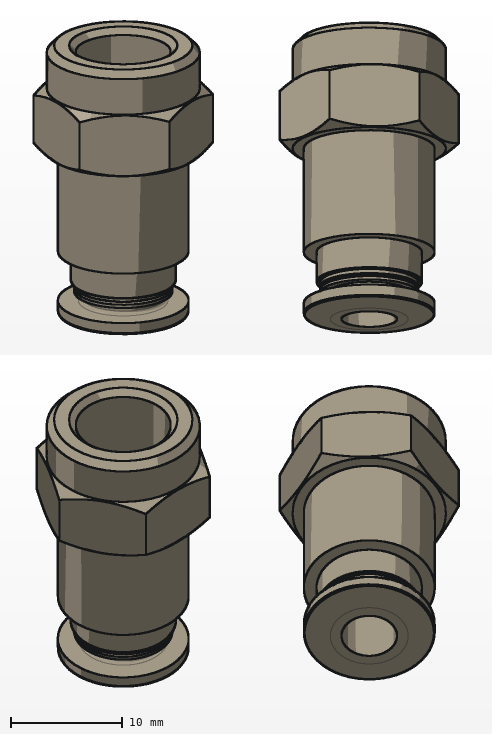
import cadquery as cq
import math

height = 26.0
hex_top = 21.92
hex_bottom = 16.0
body_bottom = 6.27
collar_bottom = 3.4
step_bottom = 3.02
groove_bottom = 2.95
ring_top = 2.73
ring_bottom = 2.42
button_top = 1.5
button_edge = 0.55

head_dia = 13.8
body_dia = 11.8
collar_dia = 9.5
ring_dia = 8.9
groove_dia = 8.55
stem_dia = 7.4
button_dia = body_dia
button_face_dia = 7.02

hex_across_corners = 16.17
hex_chamfer_angle = 30.0

port_dia = 8.55
port_floor = hex_bottom
passage_dia = 5.0
passage_mouth_dia = 6.0

head_chamfer = 0.68
port_chamfer = 0.6
collar_chamfer = 0.08
stem_fillet = 0.35
button_chamfer = 0.08
button_cone_angle = 10.0


def revolve_outline(outline):
    """Revolve an open (radius, height) outline about the Z axis after closing it along the axis."""
    return outline.close().revolve(360, (0, 0), (0, 1))


def make_turned_body():
    """Head, body, collar, grooved stem and release button as one solid of revolution."""
    head_r = head_dia / 2
    body_r = body_dia / 2
    collar_r = collar_dia / 2
    ring_r = ring_dia / 2
    groove_r = groove_dia / 2
    stem_r = stem_dia / 2
    button_r = button_dia / 2
    face_r = button_face_dia / 2
    cone_r = button_r - button_chamfer
    cone_top = (cone_r - face_r) * math.tan(math.radians(button_cone_angle))

    button = [
        (0, 0),
        (face_r, 0),
        (cone_r, cone_top),
        (button_r, button_edge),
        (button_r, button_top),
        (stem_r + stem_fillet, button_top),
    ]
    stem_and_body = [
        (stem_r, ring_bottom),
        (ring_r, ring_bottom),
        (ring_r, ring_top),
        (groove_r, groove_bottom),
        (groove_r, step_bottom),
        (ring_r, step_bottom),
        (ring_r, collar_bottom),
        (collar_r - collar_chamfer, collar_bottom),
        (collar_r, collar_bottom + collar_chamfer),
        (collar_r, body_bottom),
        (body_r, body_bottom),
        (body_r, hex_bottom),
        (head_r, hex_bottom),
        (head_r, height - head_chamfer),
        (head_r - head_chamfer, height),
        (0, height),
    ]
    fillet_end = (stem_r, button_top + stem_fillet)
    outline = (
        cq.Workplane("XZ")
        .polyline(button)
        .tangentArcPoint(fillet_end, relative=False)
        .polyline(stem_and_body, includeCurrent=True)
    )
    return revolve_outline(outline)


def make_hexagon():
    """Hexagon with corners on the X axis, turned to a cone at both ends."""
    face_r = head_dia / 2
    corner_r = hex_across_corners / 2
    corner_drop = (corner_r - face_r) * math.tan(math.radians(hex_chamfer_angle))
    prism = (
        cq.Workplane("XY", origin=(0, 0, hex_bottom))
        .polygon(6, hex_across_corners)
        .extrude(hex_top - hex_bottom)
    )
    envelope = revolve_outline(cq.Workplane("XZ").polyline([
        (0, hex_bottom),
        (face_r, hex_bottom),
        (corner_r, hex_bottom + corner_drop),
        (corner_r, hex_top - corner_drop),
        (face_r, hex_top),
        (0, hex_top),
    ]))
    return prism.intersect(envelope)


def make_bore():
    """Chamfered port at the top, leading into the narrower through passage."""
    port_r = port_dia / 2
    passage_r = passage_dia / 2
    mouth_r = passage_mouth_dia / 2
    return revolve_outline(cq.Workplane("XZ").polyline([
        (0, 0),
        (passage_r, 0),
        (passage_r, port_floor - (mouth_r - passage_r)),
        (mouth_r, port_floor),
        (port_r, port_floor),
        (port_r, height - port_chamfer),
        (port_r + port_chamfer, height),
        (0, height),
    ]))


result = make_turned_body().union(make_hexagon()).cut(make_bore())